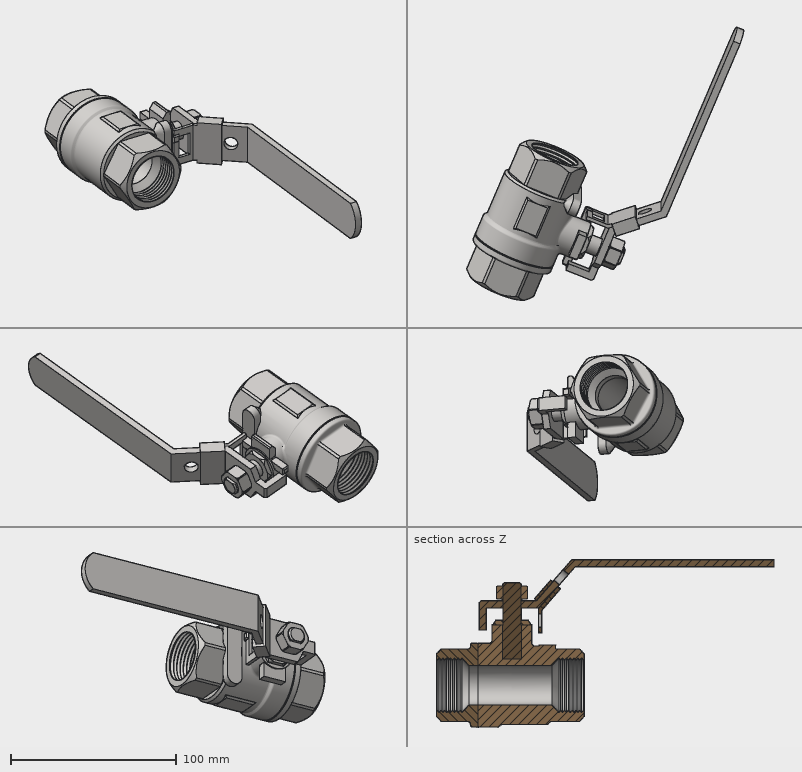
import cadquery as cq
import math


LEFT_END = -45.7
RIGHT_END = 43.8
HEX_FLAT = 19.5
HEX_CORNER_RADIUS = 22.0
END_FACE_RADIUS = 18.9
END_CHAMFER_LENGTH = 2.9
HEX_ROOT_FILLET = 1.5

BORE_RADIUS = 11.9
THREAD_MINOR_RADIUS = 15.1
THREAD_MAJOR_RADIUS = 16.4
THREAD_PITCH = 2.31
THREAD_TURNS = 7
THREAD_START = 0.5
RUNOUT_CONE_LENGTH = 3.0

FLANGE_RADIUS = 25.5
BARREL_RADIUS = 23.8
FLANGE_LEFT = -25.2
CAP_SEAM = -20.6
SEAM_CHAMFER = 0.4
FLANGE_EDGE_FILLET = 1.2
FLANGE_RIGHT = -8.4
FLANGE_STEP_LENGTH = 1.9
FLANGE_STEP_FILLET = 1.2
BARREL_RIGHT = 23.2
BARREL_CHAMFER = 1.5

PAD_LENGTH = 21.3
PAD_WIDTH = 15.4
PAD_CENTER_X = 7.0
PAD_HEIGHT = 23.9
PAD_ROOT = 19.0
PAD_EDGE_CHAMFER = 1.2

STOP_CENTER_X = 21.5
STOP_RADIUS = 5.1
STOP_HALF_SPAN = 22.6
STOP_TOP = 24.4
STOP_BOTTOM = 19.2
STOP_KEEL_DEPTH = 4.6

NECK_RADIUS = 12.1
NECK_TOP = 36.6
NECK_ROOT_FILLET = 1.5
LUG_BOTTOM = 30.5
LUG_TOP = 35.2
SIDE_LUG_REACH = 19.1
SIDE_LUG_WIDTH = 4.9
FACE_LUG_TOP = 35.7
FACE_LUG_REACH = 19.6
FACE_LUG_LENGTH = 15.1
FACE_LUG_CHAMFER_Y = 2.6
FACE_LUG_CHAMFER_Z = 3.6
REAR_LUG_REACH = 19.0
LUG_CORNER_CHAMFER = 0.8

GLAND_FLAT = 9.6
GLAND_TOP = 39.4
GLAND_TOP_RADIUS = 9.9
GLAND_CHAMFER_DROP = 2.0

STEM_RADIUS = 5.65
STEM_FLAT = 4.2
STEM_BOTTOM = 16.0
STEM_TOP = 62.1
STEM_TOP_CHAMFER = 1.0

HANDLE_THICKNESS = 4.4
HANDLE_HALF_WIDTH = 12.1
HANDLE_LEFT = -19.8
PLATE_TOP = 51.1
GRIP_TOP = 76.0
LOWER_BEND_X = 14.5
UPPER_BEND_X = 36.2
GRIP_TIP = 158.5
TIP_BULGE = 5.7
LEG_HALF_WIDTH = 4.0
LEG_BOTTOM = 33.4
LEG_CORNER_CHAMFER = 1.2
FLARE_START = -11.2
FLARE_END = -7.0
HANG_HOLE_DIAMETER = 8.4
HANG_HOLE_Y = 65.3
PLATE_BOTTOM = PLATE_TOP - HANDLE_THICKNESS
BEND_ANGLE = math.atan2(GRIP_TOP - PLATE_TOP, UPPER_BEND_X - LOWER_BEND_X)
BEND_SHIFT = HANDLE_THICKNESS * math.tan(BEND_ANGLE / 2)

LATCH_START = 0.3
LATCH_LENGTH = 15.0
LATCH_HALF_WIDTH = 13.9
LATCH_UPPER_WALL = 1.5
LATCH_LOWER_WALL = 2.1
TONGUE_BOTTOM = 31.7
TONGUE_OUTER_X = 18.1
WINDOW_HALF_WIDTH = 7.3
WINDOW_TOP = 43.0

NUT_FLAT = 8.35
NUT_CORNER_RADIUS = 9.45
NUT_BOTTOM = 52.0
NUT_TOP = 60.1
NUT_CHAMFER = 0.6
NUT_COLLAR_RADIUS = 6.1

SELECT_MARGIN = 0.5


def revolve_about_x(points):
    """Solid of revolution about the pipe axis from (x, radius) points."""
    return cq.Workplane("XY").polyline(points).close().revolve(360, (0, 0, 0), (1, 0, 0))


def revolve_about_y(points):
    """Solid of revolution about the stem axis from (radius, y) points."""
    return cq.Workplane("XY").polyline(points).close().revolve(360, (0, 0, 0), (0, 1, 0))


def cylinder_y(radius, bottom, top):
    """Cylinder on the stem axis."""
    return cq.Workplane("XZ", origin=(0, bottom, 0)).circle(radius).extrude(bottom - top)


def hex_y(flat, bottom, top):
    """Hexagon on the stem axis with corners towards +X and -X."""
    corner_diameter = 2 * flat / math.cos(math.pi / 6)
    return cq.Workplane("XZ", origin=(0, bottom, 0)).polygon(6, corner_diameter).extrude(bottom - top)


def box_between(x0, x1, y0, y1, z0, z1):
    """Box given by its two limits on each axis."""
    return cq.Workplane("XY").box(x1 - x0, y1 - y0, z1 - z0, centered=False).translate((x0, y0, z0))


def hex_end(face_x, root_x):
    """Hexagon from its chamfered end face to its root on the barrel."""
    inward = math.copysign(1, root_x - face_x)
    corner_diameter = 2 * HEX_FLAT / math.cos(math.pi / 6)
    hexagon = cq.Workplane("YZ", origin=(face_x, 0, 0)).polygon(6, corner_diameter).extrude(root_x - face_x)
    turned = revolve_about_x([
        (face_x, 0),
        (face_x, END_FACE_RADIUS),
        (face_x + inward * END_CHAMFER_LENGTH, HEX_CORNER_RADIUS),
        (root_x, HEX_CORNER_RADIUS),
        (root_x, 0),
    ])
    return hexagon.intersect(turned)


def pipe_bore(face_x, inward):
    """Threaded mouth, made of ring grooves, narrowing to the through bore near the middle."""
    def at(depth):
        return face_x + inward * depth

    points = [(face_x, 0), (face_x, THREAD_MINOR_RADIUS)]
    for turn in range(THREAD_TURNS):
        start = THREAD_START + turn * THREAD_PITCH
        points.append((at(start), THREAD_MINOR_RADIUS))
        points.append((at(start + THREAD_PITCH / 2), THREAD_MAJOR_RADIUS))
    thread_end = THREAD_START + THREAD_TURNS * THREAD_PITCH
    points += [
        (at(thread_end), THREAD_MINOR_RADIUS),
        (at(thread_end + RUNOUT_CONE_LENGTH), BORE_RADIUS),
        (0, BORE_RADIUS),
        (0, 0),
    ]
    return revolve_about_x(points)


def make_cap():
    """End cap: left hexagon and the left part of the flange."""
    flange_face = cq.Workplane("YZ", origin=(FLANGE_LEFT, 0, 0))
    flange = flange_face.circle(FLANGE_RADIUS).extrude(CAP_SEAM - FLANGE_LEFT)
    flange = flange.faces("<X").edges().fillet(FLANGE_EDGE_FILLET)
    flange = flange.faces(">X").edges().chamfer(SEAM_CHAMFER)
    cap = hex_end(LEFT_END, FLANGE_LEFT).union(flange)
    root = cq.selectors.BoxSelector(
        (FLANGE_LEFT - SELECT_MARGIN, -HEX_CORNER_RADIUS, -HEX_CORNER_RADIUS),
        (FLANGE_LEFT + SELECT_MARGIN, HEX_CORNER_RADIUS, HEX_CORNER_RADIUS),
    )
    cap = cap.edges(root).fillet(HEX_ROOT_FILLET)
    return cap.cut(pipe_bore(LEFT_END, 1))


def make_barrel():
    """Flange and barrel with the neck and the right hexagon."""
    barrel = revolve_about_x([
        (CAP_SEAM, 0),
        (CAP_SEAM, FLANGE_RADIUS - SEAM_CHAMFER),
        (CAP_SEAM + SEAM_CHAMFER, FLANGE_RADIUS),
        (FLANGE_RIGHT, FLANGE_RADIUS),
        (FLANGE_RIGHT + FLANGE_STEP_LENGTH, BARREL_RADIUS),
        (BARREL_RIGHT - BARREL_CHAMFER, BARREL_RADIUS),
        (BARREL_RIGHT, BARREL_RADIUS - BARREL_CHAMFER),
        (BARREL_RIGHT, 0),
    ])
    step = cq.selectors.BoxSelector(
        (FLANGE_RIGHT - SELECT_MARGIN, -FLANGE_RADIUS, -FLANGE_RADIUS),
        (FLANGE_RIGHT + FLANGE_STEP_LENGTH + SELECT_MARGIN, FLANGE_RADIUS, FLANGE_RADIUS),
    )
    barrel = barrel.edges(step).edges("%CIRCLE").fillet(FLANGE_STEP_FILLET)
    barrel = barrel.union(cylinder_y(NECK_RADIUS, 0, NECK_TOP))
    neck_reach = NECK_RADIUS + SELECT_MARGIN
    neck_root = cq.selectors.BoxSelector(
        (-neck_reach, LUG_BOTTOM / 2, -neck_reach),
        (neck_reach, LUG_BOTTOM, neck_reach),
    )
    barrel = barrel.edges(neck_root).edges("not |Y").fillet(NECK_ROOT_FILLET)
    return barrel.union(hex_end(RIGHT_END, BARREL_RIGHT))


def make_label_pad():
    """Flat pad on the +Z side of the barrel with sloping edges."""
    x0 = PAD_CENTER_X - PAD_LENGTH / 2
    pad = box_between(x0, x0 + PAD_LENGTH, -PAD_WIDTH / 2, PAD_WIDTH / 2, PAD_ROOT, PAD_HEIGHT)
    return pad.faces(">Z").edges().chamfer(PAD_EDGE_CHAMFER)


def make_stop_bar():
    """Round-ended bar across the barrel, its underside closing in at 45 degrees."""
    overall = 2 * STOP_HALF_SPAN
    plane = cq.Workplane("XZ", origin=(STOP_CENTER_X, STOP_BOTTOM, 0))
    bar = plane.slot2D(overall, 2 * STOP_RADIUS, 90).extrude(STOP_BOTTOM - STOP_TOP)
    keel = plane.slot2D(overall, 2 * STOP_RADIUS, 90).extrude(STOP_KEEL_DEPTH, taper=45)
    return bar.union(keel)


def make_neck_lugs():
    """Stop lugs standing out of the neck below its rim."""
    left = box_between(-SIDE_LUG_REACH, 0, LUG_BOTTOM, LUG_TOP,
                       LEG_HALF_WIDTH, LEG_HALF_WIDTH + SIDE_LUG_WIDTH)
    left = left.faces("<X").edges().chamfer(LUG_CORNER_CHAMFER)
    right = left.mirror("YZ")
    half = FACE_LUG_LENGTH / 2
    front = (
        cq.Workplane("YZ", origin=(-half, 0, 0))
        .polyline([
            (LUG_BOTTOM, 0),
            (FACE_LUG_TOP, 0),
            (FACE_LUG_TOP, FACE_LUG_REACH - LUG_CORNER_CHAMFER),
            (FACE_LUG_TOP - LUG_CORNER_CHAMFER, FACE_LUG_REACH),
            (LUG_BOTTOM + FACE_LUG_CHAMFER_Y, FACE_LUG_REACH),
            (LUG_BOTTOM, FACE_LUG_REACH - FACE_LUG_CHAMFER_Z),
        ])
        .close()
        .extrude(FACE_LUG_LENGTH)
    )
    rear = box_between(-half, half, LUG_BOTTOM, FACE_LUG_TOP, -REAR_LUG_REACH, 0)
    return left.union(right).union(front).union(rear)


def make_body(stem, latch):
    """Valve body, bored for the pipe and the stem and slotted for the latch tongue."""
    pad = make_label_pad()
    body = make_barrel().union(pad).union(pad.mirror("XY")).union(make_stop_bar()).union(make_neck_lugs())
    through = revolve_about_x([(CAP_SEAM, 0), (CAP_SEAM, BORE_RADIUS), (0, BORE_RADIUS), (0, 0)])
    return body.cut(pipe_bore(RIGHT_END, -1)).cut(through).cut(stem).cut(latch)


def make_stem():
    """Round stem whose upper end has two flats."""
    stem = cylinder_y(STEM_RADIUS, STEM_BOTTOM, STEM_TOP).faces(">Y").edges().chamfer(STEM_TOP_CHAMFER)
    for side in (-1, 1):
        z_low, z_high = sorted((side * STEM_FLAT, side * STEM_RADIUS))
        flat = box_between(-STEM_RADIUS, STEM_RADIUS, PLATE_BOTTOM, STEM_TOP, z_low, z_high)
        stem = stem.cut(flat)
    return stem


def make_gland(stem):
    """Hexagon gland nut on top of the neck, with a coned top."""
    base_radius = GLAND_FLAT / math.cos(math.pi / 6)
    cone = revolve_about_y([
        (0, NECK_TOP),
        (base_radius, NECK_TOP),
        (base_radius, GLAND_TOP - GLAND_CHAMFER_DROP),
        (GLAND_TOP_RADIUS, GLAND_TOP),
        (0, GLAND_TOP),
    ])
    return hex_y(GLAND_FLAT, NECK_TOP, GLAND_TOP).intersect(cone).cut(stem)


def make_handle(stem):
    """Bent flat handle with a narrow stop leg and a rounded grip."""
    strip = (
        cq.Workplane("XY")
        .polyline([
            (HANDLE_LEFT, PLATE_TOP),
            (LOWER_BEND_X, PLATE_TOP),
            (UPPER_BEND_X, GRIP_TOP),
            (GRIP_TIP, GRIP_TOP),
            (GRIP_TIP, GRIP_TOP - HANDLE_THICKNESS),
            (UPPER_BEND_X + BEND_SHIFT, GRIP_TOP - HANDLE_THICKNESS),
            (LOWER_BEND_X + BEND_SHIFT, PLATE_BOTTOM),
            (HANDLE_LEFT + HANDLE_THICKNESS, PLATE_BOTTOM),
            (HANDLE_LEFT + HANDLE_THICKNESS, LEG_BOTTOM),
            (HANDLE_LEFT, LEG_BOTTOM),
        ])
        .close()
        .extrude(HANDLE_HALF_WIDTH, both=True)
    )
    corner = cq.selectors.NearestToPointSelector((HANDLE_LEFT, PLATE_TOP, 0))
    strip = strip.edges(corner).chamfer(LEG_CORNER_CHAMFER)
    outline = (
        cq.Workplane("XZ", origin=(0, GRIP_TOP, 0))
        .moveTo(HANDLE_LEFT, -LEG_HALF_WIDTH)
        .lineTo(FLARE_START, -LEG_HALF_WIDTH)
        .lineTo(FLARE_END, -HANDLE_HALF_WIDTH)
        .lineTo(GRIP_TIP - TIP_BULGE, -HANDLE_HALF_WIDTH)
        .threePointArc((GRIP_TIP, 0), (GRIP_TIP - TIP_BULGE, HANDLE_HALF_WIDTH))
        .lineTo(FLARE_END, HANDLE_HALF_WIDTH)
        .lineTo(FLARE_START, LEG_HALF_WIDTH)
        .lineTo(HANDLE_LEFT, LEG_HALF_WIDTH)
        .close()
        .extrude(GRIP_TOP - LEG_BOTTOM)
    )
    hole_rise = HANG_HOLE_Y - PLATE_TOP + HANDLE_THICKNESS / 2
    hole_x = LOWER_BEND_X + BEND_SHIFT / 2 + hole_rise / math.tan(BEND_ANGLE)
    slope_normal = (-math.sin(BEND_ANGLE), math.cos(BEND_ANGLE), 0)
    hole_plane = cq.Plane((hole_x, HANG_HOLE_Y, 0), xDir=(0, 0, 1), normal=slope_normal)
    hole = cq.Workplane(hole_plane).circle(HANG_HOLE_DIAMETER / 2).extrude(HANDLE_THICKNESS, both=True)
    return strip.intersect(outline).cut(hole).cut(stem)


def make_latch(handle):
    """Sleeve around the sloped handle with a windowed tongue that drops into the right lug."""
    slope_direction = (math.cos(BEND_ANGLE), math.sin(BEND_ANGLE), 0)
    slope = cq.Plane((LOWER_BEND_X, PLATE_TOP, 0), xDir=slope_direction, normal=(0, 0, 1))
    depth = HANDLE_THICKNESS + LATCH_LOWER_WALL
    sleeve = (
        cq.Workplane(slope)
        .moveTo(LATCH_START, -depth)
        .lineTo(LATCH_START, LATCH_UPPER_WALL)
        .lineTo(LATCH_START + LATCH_LENGTH, LATCH_UPPER_WALL)
        .lineTo(LATCH_START + LATCH_LENGTH, -depth)
        .close()
        .extrude(LATCH_HALF_WIDTH, both=True)
    )

    def underside_y(x, below):
        """Height at x of a line parallel to the slope, this far under the handle's upper face."""
        return PLATE_TOP + (x - LOWER_BEND_X) * math.tan(BEND_ANGLE) - below / math.cos(BEND_ANGLE)

    inner_x = TONGUE_OUTER_X - LATCH_LOWER_WALL
    joint_x = TONGUE_OUTER_X + LATCH_LOWER_WALL
    tongue = (
        cq.Workplane("XY")
        .polyline([
            (inner_x, TONGUE_BOTTOM),
            (TONGUE_OUTER_X, TONGUE_BOTTOM),
            (TONGUE_OUTER_X, underside_y(TONGUE_OUTER_X, depth)),
            (joint_x, underside_y(joint_x, depth)),
            (joint_x, underside_y(joint_x, HANDLE_THICKNESS)),
            (inner_x, underside_y(inner_x, HANDLE_THICKNESS)),
        ])
        .close()
        .extrude(HANDLE_HALF_WIDTH, both=True)
    )
    window = box_between(inner_x, TONGUE_OUTER_X, LUG_TOP, WINDOW_TOP, -WINDOW_HALF_WIDTH, WINDOW_HALF_WIDTH)
    return sleeve.union(tongue.cut(window)).cut(handle)


def make_nut(stem):
    """Hexagon nut with a round collar that bears on the handle."""
    turned = cylinder_y(NUT_CORNER_RADIUS, NUT_BOTTOM, NUT_TOP)
    turned = turned.faces("<Y or >Y").edges().chamfer(NUT_CHAMFER)
    collar = cylinder_y(NUT_COLLAR_RADIUS, PLATE_TOP, NUT_BOTTOM)
    return hex_y(NUT_FLAT, NUT_BOTTOM, NUT_TOP).intersect(turned).union(collar).cut(stem)


stem = make_stem()
cap = make_cap()
gland = make_gland(stem)
handle = make_handle(stem)
latch = make_latch(handle)
body = make_body(stem, latch)
nut = make_nut(stem)

result = cq.Compound.makeCompound([
    body.solids().val(),
    cap.solids().val(),
    stem.solids().val(),
    gland.solids().val(),
    handle.solids().val(),
    latch.solids().val(),
    nut.solids().val(),
])